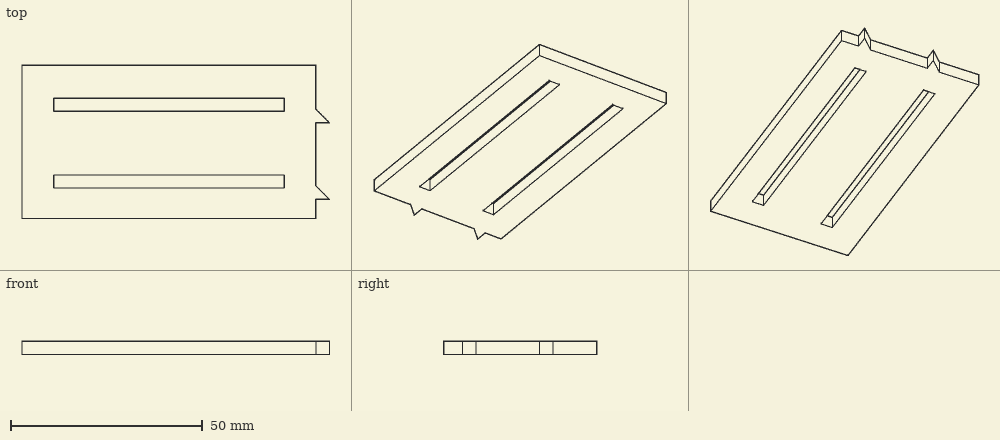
import cadquery as cq

overall_length = 80.15
plate_width = 40.0
thickness = 3.5

tooth_size = 3.5
plate_length = overall_length - tooth_size

row_pitch = plate_width / 2
row_count = 2

slot_length = 60.0
slot_width = 3.3
first_slot_edge = 8.0
first_tooth_edge = 5.0


def make_plate():
    return cq.Workplane("XY").box(plate_length, plate_width, thickness, centered=False)


def make_slot(near_edge):
    end_margin = (plate_length - slot_length) / 2
    return (
        cq.Workplane("XY")
        .box(slot_length, slot_width, thickness, centered=False)
        .translate((end_margin, near_edge, 0))
    )


def make_tooth(flat_edge):
    """Right triangle: flat on its -Y side, sloping back to the plate on +Y."""
    return (
        cq.Workplane("XY")
        .moveTo(plate_length, flat_edge)
        .lineTo(overall_length, flat_edge)
        .lineTo(plate_length, flat_edge + tooth_size)
        .close()
        .extrude(thickness)
    )


result = make_plate()
for row in range(row_count):
    row_offset = row * row_pitch
    result = result.cut(make_slot(first_slot_edge + row_offset))
    result = result.union(make_tooth(first_tooth_edge + row_offset))